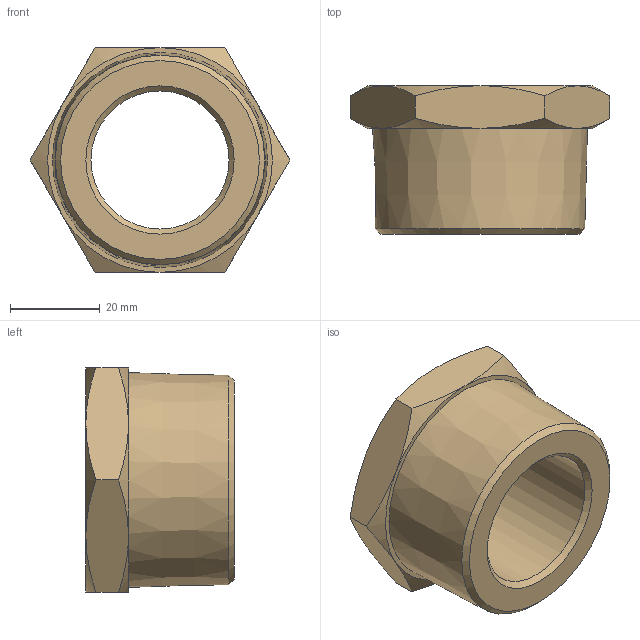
import cadquery as cq
import math

across_flats = 50.0
head_length = 9.5
head_chamfer_angle = 30.0
head_face_diameter = across_flats

total_length = 33.0
spigot_base_diameter = 47.8
spigot_end_diameter = 46.6
spigot_chamfer = 1.2

bore_diameter = 30.7
bore_mouth_diameter = 33.0
bore_chamfer_angle = 45.0

end_y = -total_length / 2
head_back_y = total_length / 2
head_front_y = head_back_y - head_length


def revolve_about_y(points):
    """Revolve a closed (radius, y) outline about the Y axis."""
    return cq.Workplane("XY").polyline(points).close().revolve(360, (0, 0), (0, 1))


def hex_head():
    """Hexagon with two corners on X, turned to a cone at the corners of both faces."""
    corner_radius = across_flats / math.sqrt(3)
    face_radius = head_face_diameter / 2
    chamfer_depth = (corner_radius - face_radius) * math.tan(math.radians(head_chamfer_angle))
    prism = (
        cq.Workplane("XZ", origin=(0, head_back_y, 0))
        .polygon(6, 2 * corner_radius)
        .extrude(head_length)
    )
    envelope = revolve_about_y([
        (0, head_front_y),
        (face_radius, head_front_y),
        (corner_radius, head_front_y + chamfer_depth),
        (corner_radius, head_back_y - chamfer_depth),
        (face_radius, head_back_y),
        (0, head_back_y),
    ])
    return prism.intersect(envelope)


def spigot():
    """Tapered round body with a chamfered free end."""
    end_radius = spigot_end_diameter / 2
    return revolve_about_y([
        (0, end_y),
        (end_radius - spigot_chamfer, end_y),
        (end_radius, end_y + spigot_chamfer),
        (spigot_base_diameter / 2, head_front_y),
        (0, head_front_y),
    ])


def bore():
    """Through hole with a countersunk mouth at the spigot end."""
    bore_radius = bore_diameter / 2
    mouth_radius = bore_mouth_diameter / 2
    mouth_depth = (mouth_radius - bore_radius) / math.tan(math.radians(bore_chamfer_angle))
    return revolve_about_y([
        (0, end_y),
        (mouth_radius, end_y),
        (bore_radius, end_y + mouth_depth),
        (bore_radius, head_back_y),
        (0, head_back_y),
    ])


result = hex_head().union(spigot()).cut(bore())